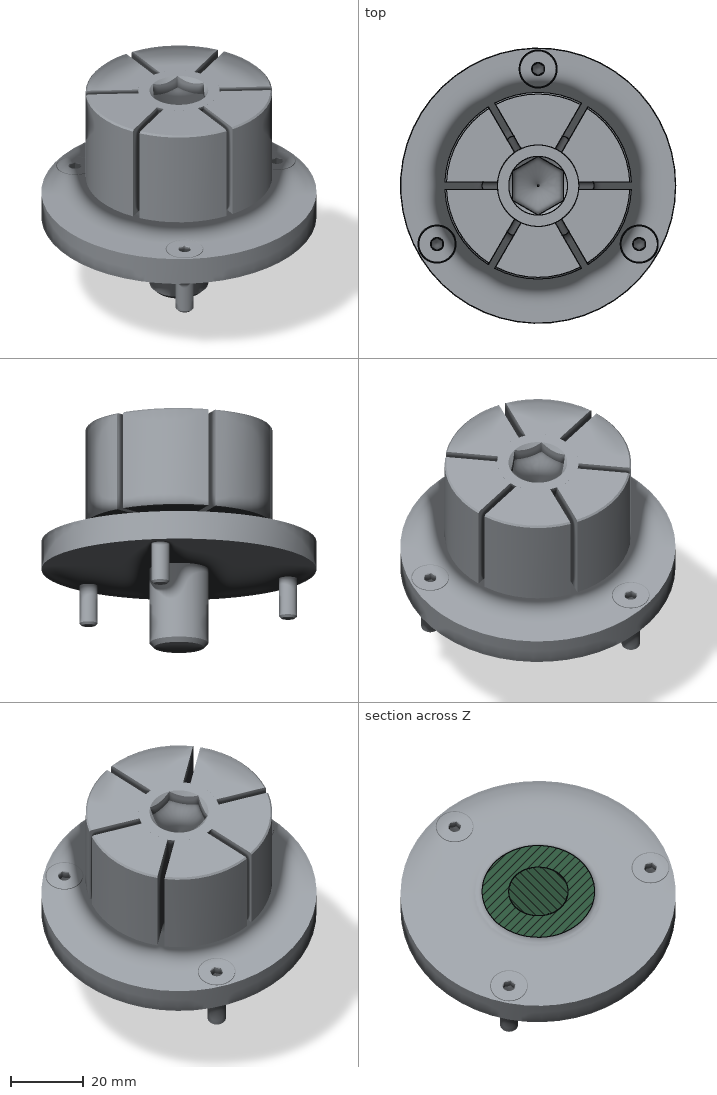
import cadquery as cq
import math


FLANGE_RADIUS = 37.75
FLANGE_THICKNESS = 7.8
HUB_RADIUS = 25.6
HUB_BOTTOM = 12.5
HUB_TOP = 39.6
HUB_CHAMFER = 0.45
NECK_FILLET = (HUB_BOTTOM - FLANGE_THICKNESS) / 2
NECK_RADIUS = 15.1

SLOT_COUNT = 6
SLOT_WIDTH = 2.05
SLOT_BOTTOM = 9.05

CLAMP_SHANK_RADIUS = 8.1
CLAMP_HEAD_RADIUS = 11.2
CLAMP_HEAD_BOTTOM = 28.2
CLAMP_LENGTH = 61.6
CLAMP_TIP = HUB_TOP - CLAMP_LENGTH
CLAMP_TIP_CHAMFER = 1.2
CLAMP_HEX_FLATS = 14.0
CLAMP_HEX_DEPTH = 3.55
CLAMP_HEX_END_RADIUS = 0.2

MOUNT_COUNT = 3
MOUNT_CIRCLE_RADIUS = 32.0
MOUNT_SHANK_RADIUS = 2.5
MOUNT_HEAD_RADIUS = 5.0
MOUNT_HEAD_RIM = 0.2
COUNTERSINK_RADIUS = MOUNT_HEAD_RADIUS + MOUNT_HEAD_RIM
COUNTERSINK_BOTTOM = FLANGE_THICKNESS - (COUNTERSINK_RADIUS - MOUNT_SHANK_RADIUS)
MOUNT_TIP = -11.2
MOUNT_TIP_CHAMFER = 0.6
MOUNT_HEX_FLATS = 3.1
MOUNT_HEX_DEPTH = 2.3

HEX_TURN = 30
DRILL_HALF_ANGLE = math.radians(60)


def revolved(profile):
    """Turn a closed (radius, height) profile around the Z axis."""
    return profile.close().revolve(360, (0, 0, 0), (0, 1, 0))


def hex_socket(across_flats, top, depth, end_radius=0.0):
    """Hexagonal recess with a countersunk mouth and a drilled cone, cut off flat at end_radius."""
    corner_radius = across_flats / math.sqrt(3)
    cone_depth = (corner_radius - end_radius) / math.tan(DRILL_HALF_ANGLE)
    end = top - depth - cone_depth
    profile = (
        cq.Workplane("XZ")
        .moveTo(0, top)
        .lineTo(corner_radius, top)
        .lineTo(corner_radius, top - depth)
        .lineTo(end_radius, end)
    )
    if end_radius > 0:
        profile = profile.lineTo(0, end)
    envelope = revolved(profile)
    hexagon = (
        cq.Workplane("XY")
        .workplane(offset=top)
        .polygon(6, 2 * corner_radius)
        .extrude(end - top)
        .rotate((0, 0, 0), (0, 0, 1), HEX_TURN)
    )
    mouth = revolved(
        cq.Workplane("XZ").moveTo(0, top).lineTo(corner_radius, top).lineTo(0, top - corner_radius)
    )
    return hexagon.intersect(envelope).union(mouth)


def clamp_screw_blank():
    """Clamping screw without its socket; it also shapes the bore of the hub."""
    return revolved(
        cq.Workplane("XZ")
        .moveTo(0, HUB_TOP)
        .lineTo(CLAMP_HEAD_RADIUS, HUB_TOP)
        .lineTo(CLAMP_SHANK_RADIUS, CLAMP_HEAD_BOTTOM)
        .lineTo(CLAMP_SHANK_RADIUS, CLAMP_TIP + CLAMP_TIP_CHAMFER)
        .lineTo(CLAMP_SHANK_RADIUS - CLAMP_TIP_CHAMFER, CLAMP_TIP)
        .lineTo(0, CLAMP_TIP)
    )


def mount_screw_blank():
    """Countersunk screw without its socket, on the Z axis, with a short cylindrical rim on its head."""
    return revolved(
        cq.Workplane("XZ")
        .moveTo(0, FLANGE_THICKNESS)
        .lineTo(MOUNT_HEAD_RADIUS, FLANGE_THICKNESS)
        .lineTo(MOUNT_HEAD_RADIUS, FLANGE_THICKNESS - MOUNT_HEAD_RIM)
        .lineTo(MOUNT_SHANK_RADIUS, COUNTERSINK_BOTTOM)
        .lineTo(MOUNT_SHANK_RADIUS, MOUNT_TIP + MOUNT_TIP_CHAMFER)
        .lineTo(MOUNT_SHANK_RADIUS - MOUNT_TIP_CHAMFER, MOUNT_TIP)
        .lineTo(0, MOUNT_TIP)
    )


def mount_hole():
    """Countersunk hole through the flange, on the Z axis; its cone runs out at the flange face."""
    return revolved(
        cq.Workplane("XZ")
        .moveTo(0, FLANGE_THICKNESS)
        .lineTo(COUNTERSINK_RADIUS, FLANGE_THICKNESS)
        .lineTo(MOUNT_SHANK_RADIUS, COUNTERSINK_BOTTOM)
        .lineTo(MOUNT_SHANK_RADIUS, 0)
        .lineTo(0, 0)
    )


def at_mounts(body):
    """Copies of a body placed at the mounting positions, the first one towards +Y."""
    placed = body.translate((0, MOUNT_CIRCLE_RADIUS, 0))
    return [
        placed.rotate((0, 0, 0), (0, 0, 1), index * 360 / MOUNT_COUNT)
        for index in range(MOUNT_COUNT)
    ]


def expansion_slot():
    """Radial slot with a round floor, running from the axis towards +X."""
    floor_radius = SLOT_WIDTH / 2
    return (
        cq.Workplane("YZ")
        .moveTo(-floor_radius, HUB_TOP)
        .lineTo(-floor_radius, SLOT_BOTTOM + floor_radius)
        .threePointArc((0, SLOT_BOTTOM), (floor_radius, SLOT_BOTTOM + floor_radius))
        .lineTo(floor_radius, HUB_TOP)
        .close()
        .extrude(FLANGE_RADIUS)
    )


def make_hub():
    """Flange and slotted hub in one piece, joined by a neck with two meeting fillets."""
    groove_middle = FLANGE_THICKNESS + NECK_FILLET
    groove_mouth = NECK_RADIUS + NECK_FILLET
    hub = revolved(
        cq.Workplane("XZ")
        .lineTo(FLANGE_RADIUS, 0)
        .lineTo(FLANGE_RADIUS, FLANGE_THICKNESS)
        .lineTo(groove_mouth, FLANGE_THICKNESS)
        .radiusArc((NECK_RADIUS, groove_middle), NECK_FILLET)
        .radiusArc((groove_mouth, HUB_BOTTOM), NECK_FILLET)
        .lineTo(HUB_RADIUS, HUB_BOTTOM)
        .lineTo(HUB_RADIUS, HUB_TOP - HUB_CHAMFER)
        .lineTo(HUB_RADIUS - HUB_CHAMFER, HUB_TOP)
        .lineTo(0, HUB_TOP)
    )
    slot = expansion_slot()
    for index in range(SLOT_COUNT):
        hub = hub.cut(slot.rotate((0, 0, 0), (0, 0, 1), index * 360 / SLOT_COUNT))
    hub = hub.cut(clamp_screw_blank())
    for hole in at_mounts(mount_hole()):
        hub = hub.cut(hole)
    return hub


def make_clamp_screw():
    socket = hex_socket(CLAMP_HEX_FLATS, HUB_TOP, CLAMP_HEX_DEPTH, CLAMP_HEX_END_RADIUS)
    return clamp_screw_blank().cut(socket)


def make_mount_screw():
    socket = hex_socket(MOUNT_HEX_FLATS, FLANGE_THICKNESS, MOUNT_HEX_DEPTH)
    return mount_screw_blank().cut(socket)


hub = make_hub()
clamp_screw = make_clamp_screw()
mount_screws = at_mounts(make_mount_screw())

result = cq.Compound.makeCompound(
    [hub.val(), clamp_screw.val(), *[screw.val() for screw in mount_screws]]
)